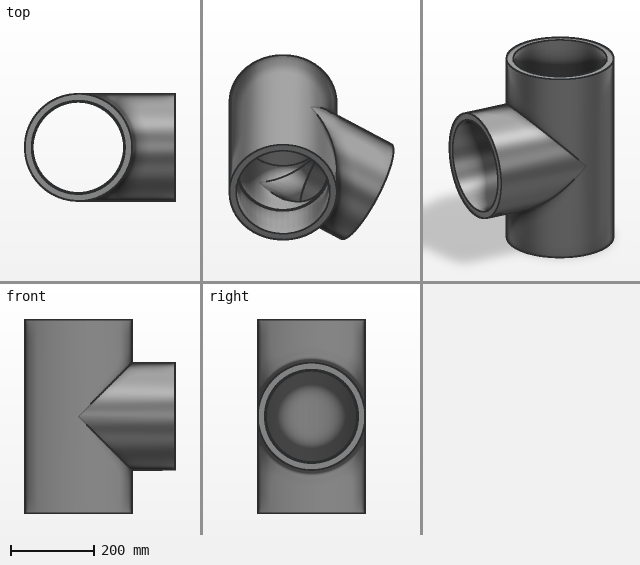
import cadquery as cq

run_length = 466.0
outer_diameter = 258.0
bore_diameter = 219.0
socket_diameter = 225.0
socket_depth = 119.0

reach = run_length / 2


def leg(direction, diameter, start=0.0):
    """Cylinder along a direction, from a distance off the crossing to the open end."""
    axis = cq.Vector(*direction)
    return cq.Workplane(
        cq.Solid.makeCylinder(diameter / 2, reach - start, axis * start, axis)
    )


def run(diameter):
    """Full-length vertical cylinder centred on the crossing."""
    return cq.Workplane("XY").circle(diameter / 2).extrude(reach, both=True)


up = (0, 0, 1)
down = (0, 0, -1)
side = (1, 0, 0)

body = run(outer_diameter).union(leg(side, outer_diameter))
bores = run(bore_diameter).union(leg(side, bore_diameter))
result = body.cut(bores)

for direction in (up, down, side):
    result = result.cut(leg(direction, socket_diameter, reach - socket_depth))